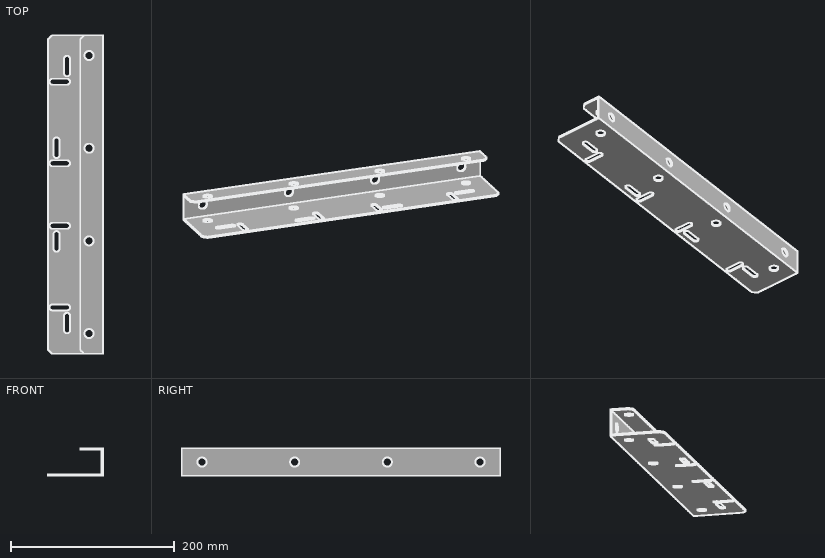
import cadquery as cq

length = 390.0
width = 67.5
height = 34.0
thickness = 2.0
top_flange_width = 28.0
corner_chamfer = 5.0

hole_diameter = 11.0
hole_end_distance = 25.0
hole_count = 4
hole_from_web_face = 17.0

slot_length = 25.0
slot_width = 7.0
cross_slot_x = 14.5
outer_pair_long_slot_x = 23.5
inner_pair_long_slot_x = 10.5
outer_pair_end_distance = 57.0
pair_pitch = 100.0
long_slot_offset = 19.0

hole_pitch = (length - 2 * hole_end_distance) / (hole_count - 1)
hole_positions = [hole_end_distance + i * hole_pitch for i in range(hole_count)]


def flange(flange_width, bottom_z):
    """Plate reaching back from the web face, with its free corners chamfered."""
    plate = cq.Workplane("XY").box(flange_width, length, thickness, centered=False)
    plate = plate.edges("|Z and <X").chamfer(corner_chamfer)
    return plate.translate((width - flange_width, 0, bottom_z))


def slot_cutter(x, y, angle):
    """Slot through the bottom flange, its long axis turned by angle from X."""
    slot = cq.Workplane("XY").slot2D(slot_length, slot_width, angle).extrude(thickness)
    return slot.translate((x, y, 0))


web = cq.Workplane("XY").box(thickness, length, height, centered=False)
web = web.translate((width - thickness, 0, 0))
result = web.union(flange(width, 0)).union(flange(top_flange_width, height - thickness))

flange_hole_centers = [(width - hole_from_web_face, y) for y in hole_positions]
flange_holes = cq.Workplane("XY").pushPoints(flange_hole_centers).circle(hole_diameter / 2).extrude(height)
result = result.cut(flange_holes)

web_hole_centers = [(y, height / 2) for y in hole_positions]
web_holes = (
    cq.Workplane("YZ", origin=(width - thickness, 0, 0))
    .pushPoints(web_hole_centers)
    .circle(hole_diameter / 2)
    .extrude(thickness)
)
result = result.cut(web_holes)

for pair_index, long_slot_x in enumerate((outer_pair_long_slot_x, inner_pair_long_slot_x)):
    cross_slot_y = outer_pair_end_distance + pair_index * pair_pitch
    long_slot_y = cross_slot_y - long_slot_offset
    for y in (cross_slot_y, length - cross_slot_y):
        result = result.cut(slot_cutter(cross_slot_x, y, 0))
    for y in (long_slot_y, length - long_slot_y):
        result = result.cut(slot_cutter(long_slot_x, y, 90))